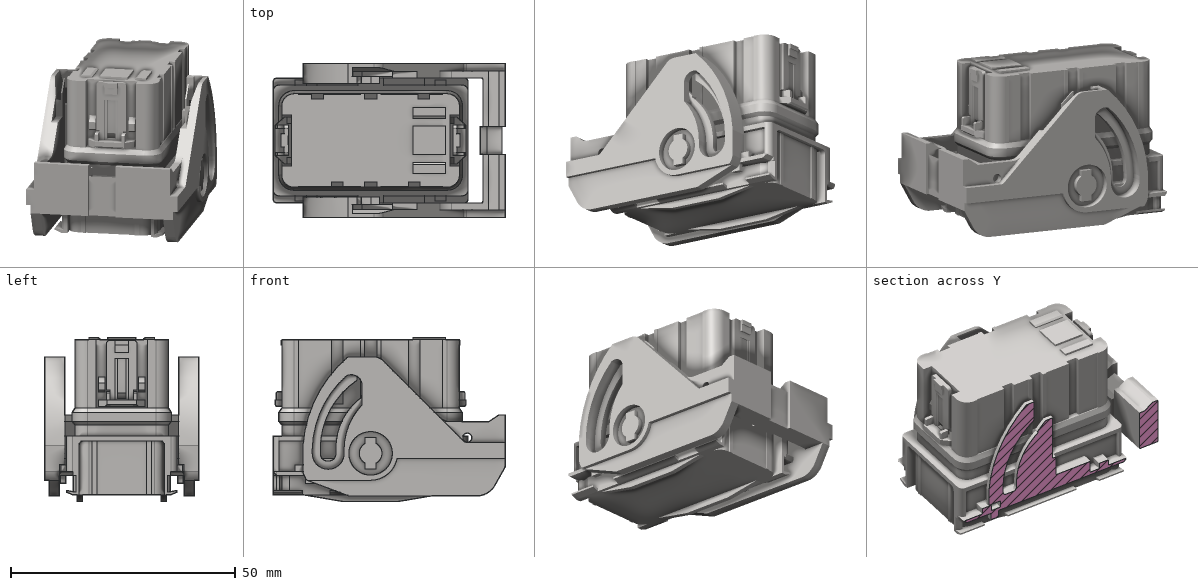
import cadquery as cq
import math


CAP_X, CAP_Y = 19.8, 10.42
CAP_TOP = 25.33
CAP_CORNER = 2.75
SIDE_RELIEF = 0.2
RELIEF_X = 16.05
NOTCH_DEPTH = 1.2
SIDE_NOTCH_WIDTH = 2.6
FRONT_NOTCHES, BACK_NOTCHES = (-8.76, 8.4), (-13.15, 10.55)
SHORT_NOTCH_LOW = 11.0
MID_NOTCH_X = 1.4
MID_RIB_X = 2.3
COLLAR_X, COLLAR_Y = 20.48, 11.1
COLLAR_LOW, COLLAR_HIGH = 6.3, 10.1
COLLAR_BEVEL_TOP, COLLAR_BEVEL_LOW = 1.04, 0.84
PAD_X0, PAD_X1 = 9.4, 16.7
PAD_TOP = 25.85
PAD_MID_Y = 3.17
PAD_SIDE_Y0, PAD_SIDE_Y1 = 4.9, 7.35
PAD_BEVEL = 0.25

POCKET_X, POCKET_Y = 17.65, 5.7
TONGUE_FACE, TONGUE_BACK = 19.25, 18.35
TONGUE_Y = 3.4
TONGUE_TOP, TONGUE_FOOT = 25.15, 10.9
TONGUE_FILLET = 0.7
TONGUE_SLOT_Y = 0.95
FACE_GROOVE_DEPTH, DEEP_GROOVE_DEPTH = 0.12, 0.24
DEEP_GROOVE_LOW, DEEP_GROOVE_BEND = 12.2, 13.5
GRIP_X = 19.95
GRIP_Y = 1.5
GRIP_STEP = 0.25
GRIP_EDGE, GRIP_LOW, GRIP_ROOT = 24.1, 22.5, 21.1
SHOULDER_TOP = 14.1
BRACKET_X = 21.3
BRACKET_Y, BRACKET_TIP_Y = 5.2, 3.3
BRACKET_Z0, BRACKET_Z1 = 10.45, 11.9
BRACKET_BEVEL = 0.4
POST_Y = 2.65
POST_X = 21.05
POST_TOP = 13.75
POST_BEVEL = 0.25
CLIP_Y0, CLIP_Y1 = 3.75, 5.2
CLIP_X = 18.6
CLIP_Z0, CLIP_Z1 = 13.6, 17.1
CLIP_FOOT_BEVEL, CLIP_HEAD_BEVEL = 0.5, 1.4

CUP_X, CUP_Y = 21.72, 12.35
CUP_TOP, CUP_BOTTOM = 3.85, -9.28
CUP_CORNER = 1.35
WALL_OVERLAP = 2.0
CUP_ROOT = CUP_Y - WALL_OVERLAP
RIM_LOW = 2.78
SIDE_SET_BACK = 1.2
FLANGE_Y = 13.9
FLANGE_TOP, FLANGE_LOW = -4.07, -4.95
FLANGE_CORNER = 0.8
FLANGE_END_BEVEL = 0.8
LEDGE_X, LEDGE_TOP = 12.0, -1.1
SKIRT_Y, SKIRT_NECK_Y = 10.85, 10.2
SKIRT_END = 0.8
RIB_X = 20.3
NECK_X0, NECK_X1 = 18.1, 19.8
LIP_Y, LIP_EDGE = 12.35, 0.4
LIP_TOP = -8.25
LIP_SPANS = ((-CUP_X, -15.2), (-9.1, 9.1), (15.2, CUP_X))
END_WINDOW_Y = 9.5
END_WINDOW_DEPTH = 1.2
END_WINDOW_FILLET = 1.0
END_BODY_CORNER = 2.2
END_RIB_Y, END_RIB_WIDTH, END_RIB_DEPTH = 6.05, 1.05, 0.2
BLOCK_X0, BLOCK_X1 = 14.3, 16.8
BLOCK_Y, BLOCK_TOP = 13.5, -2.6
PEG_X0, PEG_X1 = -14.5, -12.4
PEG_Y0, PEG_Y1, PEG_LOW = 12.45, 13.65, -6.7
KEEL_Y0, KEEL_Y1 = 8.7, 9.95
KEEL_LONG, KEEL_SHORT = 14.9, 6.2
KEEL_BOTTOM = -10.75

ARM_OUT = 17.2
ARM_STEP = 16.2
ARM_MID = 13.92
ARM_IN = 12.65
NOSE_X, NOSE_Z = -15.06, 1.8
NOSE_MID = (-13.25, 9.9)
NOSE_END_X = -5.05
LEVER_TOP = 21.5
SHELF_Z = 2.45
LEVER_LOW, LEVER_BOTTOM = -6.0, -9.5
TOE_X, TOE_Z = 0.9, 1.9
TOE_MID = (-14.76, -5.05)
SKIRT_START_X = -4.8
HEEL_START_X = 24.1
HEEL_MID, HEEL_END = (26.1, -8.8), (27.5, -7.5)
HEEL_TOP = -3.0
SLOPE_SUM = 23.45
CREST_FILLET = 2.9
SHELF_FILLET = 1.0
LEVER_END = 30.03
CHEEK_X, CHEEK_LOW = 1.97, -2.5
STEP_Z, STEP_R = -1.1, 6.0
SLOT_X = -9.46
SLOT_HALF, GROOVE_HALF = 1.75, 3.55
SLOT_BEND_Z = 1.0
SLOT_OUTER = ((-9.25, 9.2), (-3.0, 16.3))
SLOT_INNER = ((-6.25, 7.5), (-2.0, 12.5))
GROOVE_OUTER = ((-9.65, 12.2), (-5.3, 17.35))
GROOVE_HEAD = (-3.15, 17.2)
GROOVE_HEAD_Z = 15.6
GROOVE_INNER = ((-4.75, 6.5), (-1.93, 10.8))
GROOVE_FLOOR = 14.25
TRACK_X, TRACK_R = 13.04, 18.8
ENTRY_R = 19.85
TRACK_X0, TRACK_X1 = -4.07, 4.9
TRACK_OUT = 15.35
ENTRY_X0, ENTRY_FLAT_X = -3.0, 0.1
LEAD_IN_Y, LEAD_IN_Z, LEAD_IN_END = 16.3, 17.9, 5.6
RELIEF_END, RELIEF_Z = 10.4, 13.1
PIVOT_SINK_D, PIVOT_SINK_DEPTH = 9.7, 1.7
PIVOT_D = 5.05
PIVOT_KEY_W, PIVOT_KEY_H = 2.46, 7.0
PIVOT_HEIGHT = 1.3
PIVOT_BLOCK_X = 2.85
RAIL_X, RAIL_Y, RAIL_TOP = 15.5, 15.45, 7.05
RAIL_BLEND_MID, RAIL_BLEND_X = (16.65, 7.25), 18.0
CROSS_HOLE_D = 2.0
CROSS_HOLE_X, CROSS_HOLE_Z = 21.54, 3.5
BRIDGE_X, BRIDGE_LOW = 25.04, -3.0
BRIDGE_TOP = 8.58
RAMP_X0, RAMP_X1 = 26.3, 28.6
BRIDGE_CORNER = 0.5
SADDLE_Y = 3.1
SADDLE_X0, SADDLE_X1, SADDLE_RAMP_X = 24.4, 29.3, 25.95
SADDLE_Z0, SADDLE_Z1 = 4.5, 6.0
CLEAR = 1.0
TINY = 0.05


def box(x0, x1, y0, y1, z0, z1):
    return cq.Workplane("XY").box(x1 - x0, y1 - y0, z1 - z0, centered=False).translate((x0, y0, z0))


def centred_block(half_x, half_y, z0, z1, corner):
    block = box(-half_x, half_x, -half_y, half_y, z0, z1)
    return block.edges("|Z").fillet(corner)


def along_y(sketch, y0, y1):
    """Extrude a closed outline, drawn in X and Z, from y0 to y1."""
    return sketch.extrude(-(y1 - y0)).translate((0, y0, 0))


def outline(points, plane="XZ"):
    return cq.Workplane(plane).polyline(points).close()


def both_sides(body):
    return body.union(body.mirror("XZ"))


def both_ends(body):
    return body.union(body.mirror("YZ"))


def make_cap():
    cap = centred_block(CAP_X, CAP_Y, CUP_TOP - TINY, CAP_TOP, CAP_CORNER)
    relief_y = CAP_Y - SIDE_RELIEF
    floor_y = CAP_Y - NOTCH_DEPTH
    cut_top = CAP_TOP + CLEAR
    for side in (-1, 1):
        y0, y1 = sorted((side * relief_y, side * (CAP_Y + CLEAR)))
        for x0, x1 in ((-RELIEF_X, -MID_RIB_X), (MID_RIB_X, RELIEF_X)):
            cap = cap.cut(box(x0, x1, y0, y1, COLLAR_HIGH, cut_top))
        y0, y1 = sorted((side * floor_y, side * (CAP_Y + CLEAR)))
        cap = cap.cut(box(-MID_NOTCH_X, MID_NOTCH_X, y0, y1, COLLAR_HIGH, cut_top))
        notch_starts = FRONT_NOTCHES if side < 0 else BACK_NOTCHES
        for x0 in notch_starts:
            low = SHORT_NOTCH_LOW if x0 == FRONT_NOTCHES[0] else COLLAR_HIGH
            cap = cap.cut(box(x0, x0 + SIDE_NOTCH_WIDTH, y0, y1, low, cut_top))
    return cap


def make_collar():
    collar = centred_block(COLLAR_X, COLLAR_Y, COLLAR_LOW, COLLAR_HIGH, CAP_CORNER + COLLAR_X - CAP_X)
    reach = COLLAR_X - CAP_X
    collar = collar.faces(">Z").chamfer(COLLAR_BEVEL_TOP, reach)
    return collar.faces("<Z").chamfer(COLLAR_BEVEL_LOW, reach)


def make_pads():
    base = CAP_TOP - TINY
    pads = box(PAD_X0, PAD_X1, -PAD_MID_Y, PAD_MID_Y, base, PAD_TOP)
    inner = [
        (PAD_SIDE_Y0, base),
        (PAD_SIDE_Y1, base),
        (PAD_SIDE_Y1, PAD_TOP),
        (PAD_SIDE_Y0 + 2 * PAD_BEVEL, PAD_TOP),
        (PAD_SIDE_Y0, PAD_TOP - PAD_BEVEL),
    ]
    side_pad = outline(inner, "YZ").extrude(PAD_X1 - PAD_X0).translate((PAD_X0, 0, 0))
    return pads.union(both_sides(side_pad))


def make_end_pocket():
    """Recess in the +X end of the cap that holds the latch."""
    return box(POCKET_X, CAP_X + CLEAR, -POCKET_Y, POCKET_Y, COLLAR_HIGH, CAP_TOP + CLEAR)


def make_latch():
    """Spring tongue, foot bracket and guide clips at the +X end."""
    tongue = box(TONGUE_BACK, TONGUE_FACE, -TONGUE_Y, TONGUE_Y, SHOULDER_TOP, TONGUE_TOP)
    tongue = tongue.edges("|X and >Z").fillet(TONGUE_FILLET)
    tongue = tongue.union(box(TONGUE_BACK, TONGUE_FACE, -POST_Y, POST_Y, TONGUE_FOOT, SHOULDER_TOP + TINY))
    grip_profile = [
        (TONGUE_BACK, TONGUE_TOP),
        (GRIP_X, TONGUE_TOP),
        (GRIP_X, GRIP_EDGE),
        (GRIP_X - GRIP_STEP, GRIP_EDGE),
        (GRIP_X - GRIP_STEP, GRIP_LOW),
        (TONGUE_FACE, GRIP_LOW),
        (TONGUE_BACK, GRIP_ROOT),
    ]
    grip = along_y(outline(grip_profile), -GRIP_Y, GRIP_Y)
    face_groove = box(TONGUE_FACE - FACE_GROOVE_DEPTH, GRIP_X, -GRIP_Y, GRIP_Y, BRACKET_Z1, GRIP_ROOT)
    floor_x = TONGUE_FACE - DEEP_GROOVE_DEPTH
    deep_profile = [
        (GRIP_X, GRIP_ROOT),
        (floor_x, GRIP_ROOT),
        (floor_x, DEEP_GROOVE_BEND),
        (TONGUE_BACK + TINY, DEEP_GROOVE_LOW),
        (GRIP_X, DEEP_GROOVE_LOW),
    ]
    deep_groove = along_y(outline(deep_profile), -TONGUE_SLOT_Y, TONGUE_SLOT_Y)
    tongue = tongue.union(grip).cut(face_groove).cut(deep_groove)

    foot_plan = [
        (POCKET_X - TINY, -BRACKET_Y),
        (TONGUE_FACE, -BRACKET_Y),
        (BRACKET_X, -BRACKET_TIP_Y),
        (BRACKET_X, BRACKET_TIP_Y),
        (TONGUE_FACE, BRACKET_Y),
        (POCKET_X - TINY, BRACKET_Y),
    ]
    bracket = outline(foot_plan, "XY").extrude(BRACKET_Z1 - BRACKET_Z0).translate((0, 0, BRACKET_Z0))
    bracket = bracket.faces(">X").edges("<Z").chamfer(BRACKET_BEVEL)
    post = box(TONGUE_FACE, POST_X, POST_Y, TONGUE_Y, BRACKET_Z0, POST_TOP)
    post = post.edges("|Y and >Z and >X").chamfer(POST_BEVEL)
    clip_profile = [
        (POCKET_X - TINY, CLIP_Z0),
        (CLIP_X, CLIP_Z0 + CLIP_FOOT_BEVEL),
        (CLIP_X, CLIP_Z1 - CLIP_HEAD_BEVEL),
        (POCKET_X - TINY, CLIP_Z1),
    ]
    clip = along_y(outline(clip_profile), CLIP_Y0, CLIP_Y1)
    return tongue.union(bracket).union(both_sides(post.union(clip)))


def make_flange():
    flange = centred_block(CUP_X, FLANGE_Y, FLANGE_LOW, FLANGE_TOP, FLANGE_CORNER)
    bevel_profile = [
        (CUP_X - FLANGE_END_BEVEL, FLANGE_LOW),
        (CUP_X, FLANGE_TOP - TINY),
        (CUP_X, FLANGE_LOW),
    ]
    bevel = both_sides(along_y(outline(bevel_profile), SKIRT_NECK_Y, FLANGE_Y))
    ledge = box(-LEDGE_X, LEDGE_X, CUP_ROOT, FLANGE_Y, FLANGE_LOW, LEDGE_TOP)
    return flange.cut(both_ends(bevel)).union(both_sides(ledge))


def make_skirt():
    """Lower wall of the cup, bevelled at each end and necked in just behind it."""
    half_edge = [
        (CUP_X, SKIRT_NECK_Y),
        (CUP_X - SKIRT_END, SKIRT_Y),
        (RIB_X, SKIRT_Y),
        (NECK_X1, SKIRT_NECK_Y),
        (NECK_X0, SKIRT_Y),
    ]
    back_edge = half_edge + [(-x, y) for x, y in reversed(half_edge)]
    plan = back_edge + [(x, -y) for x, y in reversed(back_edge)]
    skirt = outline(plan, "XY").extrude(FLANGE_TOP - CUP_BOTTOM).translate((0, 0, CUP_BOTTOM))
    lip_section = [
        (SKIRT_NECK_Y - TINY, CUP_BOTTOM),
        (SKIRT_Y, CUP_BOTTOM),
        (LIP_Y, LIP_TOP - LIP_EDGE),
        (LIP_Y, LIP_TOP),
        (SKIRT_NECK_Y - TINY, LIP_TOP - LIP_EDGE),
    ]
    for x0, x1 in LIP_SPANS:
        lip = outline(lip_section, "YZ").extrude(x1 - x0).translate((x0, 0, 0))
        skirt = skirt.union(both_sides(lip))
    return skirt


def make_end_window():
    """Shallow window in the +X end around a body with rounded corners."""
    face_x = CUP_X - END_WINDOW_DEPTH
    low = CUP_BOTTOM - CLEAR
    window = box(face_x, CUP_X + CLEAR, -END_WINDOW_Y, END_WINDOW_Y, low, RIM_LOW)
    window = window.edges("|X and >Z").fillet(END_WINDOW_FILLET)
    corner = box(face_x - 2 * END_BODY_CORNER, face_x, -END_WINDOW_Y, END_WINDOW_Y, low, RIM_LOW)
    body = corner.edges("|Z and >X").fillet(END_BODY_CORNER)
    window = window.union(corner.cut(body))
    rib_y0 = END_RIB_Y - END_RIB_WIDTH / 2
    rib_y1 = END_RIB_Y + END_RIB_WIDTH / 2
    rib = box(face_x - TINY, face_x + END_RIB_DEPTH, rib_y0, rib_y1, low, RIM_LOW)
    return window.cut(both_sides(rib))


def make_keel():
    profile = [
        (-KEEL_LONG, CUP_BOTTOM),
        (-KEEL_SHORT, KEEL_BOTTOM),
        (KEEL_SHORT, KEEL_BOTTOM),
        (KEEL_LONG, CUP_BOTTOM),
        (KEEL_LONG, CUP_BOTTOM + CLEAR),
        (-KEEL_LONG, CUP_BOTTOM + CLEAR),
    ]
    return along_y(outline(profile), KEEL_Y0, KEEL_Y1)


def make_cup():
    cup = centred_block(CUP_X, CUP_Y, FLANGE_LOW, CUP_TOP, CUP_CORNER)
    panel_x = CUP_X - CUP_CORNER
    panel = box(-panel_x, panel_x, CUP_Y - SIDE_SET_BACK, CUP_Y + CLEAR, FLANGE_TOP, RIM_LOW)
    cup = cup.cut(both_sides(panel))
    below_flange = box(-CUP_X, CUP_X, SKIRT_Y, CUP_Y + CLEAR, CUP_BOTTOM, FLANGE_TOP)
    cup = cup.cut(both_sides(below_flange)).union(make_flange()).union(make_skirt())
    cup = cup.cut(both_ends(make_end_window()))
    block = box(BLOCK_X0, BLOCK_X1, CUP_ROOT, BLOCK_Y, FLANGE_TOP - TINY, BLOCK_TOP)
    peg = box(PEG_X0, PEG_X1, PEG_Y0, PEG_Y1, PEG_LOW, FLANGE_TOP)
    return cup.union(both_sides(both_ends(block).union(peg).union(make_keel())))


def upper_outline():
    """Outline of the full-thickness lever plate, down to its lower step."""
    step_end_x = math.sqrt(STEP_R ** 2 - STEP_Z ** 2)
    step_mid = (STEP_R * math.cos(math.pi / 4), -STEP_R * math.sin(math.pi / 4))
    return (
        cq.Workplane("XZ")
        .moveTo(NOSE_X, NOSE_Z)
        .threePointArc(NOSE_MID, (NOSE_END_X, LEVER_TOP))
        .lineTo(SLOPE_SUM - LEVER_TOP, LEVER_TOP)
        .lineTo(SLOPE_SUM - SHELF_Z, SHELF_Z)
        .lineTo(LEVER_END, SHELF_Z)
        .lineTo(LEVER_END, STEP_Z)
        .lineTo(step_end_x, STEP_Z)
        .threePointArc(step_mid, (0, LEVER_LOW))
        .lineTo(NOSE_X + TOE_X, LEVER_LOW)
        .threePointArc(TOE_MID, (NOSE_X, LEVER_LOW + TOE_Z))
        .close()
    )


def make_lower_plate():
    profile = (
        cq.Workplane("XZ")
        .moveTo(NOSE_X + TOE_X, LEVER_LOW)
        .lineTo(SKIRT_START_X, LEVER_BOTTOM)
        .lineTo(HEEL_START_X, LEVER_BOTTOM)
        .threePointArc(HEEL_MID, HEEL_END)
        .lineTo(LEVER_END, HEEL_TOP)
        .lineTo(LEVER_END, STEP_Z + CLEAR)
        .lineTo(0, STEP_Z + CLEAR)
        .close()
    )
    return along_y(profile, ARM_MID, ARM_STEP)


def curved_slot(half_width, outer_edge, head, inner_edge, y0, y1):
    """Slot rising from a rounded foot; each edge is a (middle, end) pair of its arc."""
    left, right = SLOT_X - half_width, SLOT_X + half_width
    path = (
        cq.Workplane("XZ")
        .moveTo(left, 0)
        .lineTo(left, SLOT_BEND_Z)
        .threePointArc(*outer_edge)
    )
    if head:
        path = path.threePointArc(*head)
    path = path.lineTo(*inner_edge[1]).threePointArc(inner_edge[0], (right, SLOT_BEND_Z)).lineTo(right, 0)
    return along_y(path.threePointArc((SLOT_X, -half_width), (left, 0)).close(), y0, y1)


def open_track(x0, x1, floor_r, y0, y1):
    """Cam track open through the lever top, with an arc-shaped floor."""
    floor = along_y(cq.Workplane("XZ").center(TRACK_X, 0).circle(floor_r), y0, y1)
    return box(x0, x1, y0, y1, 0, LEVER_TOP + CLEAR).cut(floor)


def cut_cam_track(arm):
    y_out = ARM_OUT + CLEAR
    y_in = ARM_IN - CLEAR
    head = (GROOVE_HEAD, (GROOVE_INNER[1][0], GROOVE_HEAD_Z))
    arm = arm.cut(curved_slot(GROOVE_HALF, GROOVE_OUTER, head, GROOVE_INNER, GROOVE_FLOOR, y_out))
    arm = arm.cut(curved_slot(SLOT_HALF, SLOT_OUTER, None, SLOT_INNER, y_in, y_out))
    arm = arm.cut(open_track(TRACK_X0, TRACK_X1, TRACK_R, GROOVE_FLOOR, TRACK_OUT))
    rising_part = open_track(ENTRY_X0, ENTRY_FLAT_X, ENTRY_R, y_in, GROOVE_FLOOR + TINY)
    level_z = math.sqrt(ENTRY_R ** 2 - (TRACK_X - ENTRY_FLAT_X) ** 2)
    level_part = box(ENTRY_FLAT_X, CHEEK_X, y_in, GROOVE_FLOOR + TINY, level_z, LEVER_TOP + CLEAR)
    arm = arm.cut(rising_part).cut(level_part)
    lead_in_section = [
        (TRACK_OUT - TINY, LEAD_IN_Z),
        (LEAD_IN_Y, LEVER_TOP),
        (TRACK_OUT - TINY, LEVER_TOP),
    ]
    lead_in = outline(lead_in_section, "YZ").extrude(LEAD_IN_END - TRACK_X0).translate((TRACK_X0, 0, 0))
    arm = arm.cut(lead_in)
    return arm.cut(box(TRACK_X1, RELIEF_END, y_in, TRACK_OUT, RELIEF_Z, LEVER_TOP))


def make_pivot():
    floor_y = ARM_OUT - PIVOT_SINK_DEPTH
    tip_y = floor_y + PIVOT_HEIGHT
    pin = along_y(cq.Workplane("XZ").circle(PIVOT_D / 2), CUP_ROOT, tip_y)
    key = along_y(cq.Workplane("XZ").rect(PIVOT_KEY_W, PIVOT_KEY_H), floor_y - TINY, tip_y)
    block = box(-PIVOT_BLOCK_X, PIVOT_BLOCK_X, CUP_ROOT, ARM_MID + TINY, CHEEK_LOW, CUP_TOP)
    return pin.union(key).union(block)


def make_rail():
    rail_profile = (
        cq.Workplane("XZ")
        .moveTo(RAIL_X, STEP_Z)
        .lineTo(RAIL_X, SLOPE_SUM - RAIL_X)
        .threePointArc(RAIL_BLEND_MID, (RAIL_BLEND_X, RAIL_TOP))
        .lineTo(LEVER_END, RAIL_TOP)
        .lineTo(LEVER_END, STEP_Z)
        .close()
    )
    rail = along_y(rail_profile, ARM_MID, RAIL_Y)
    hole_circle = cq.Workplane("XZ").center(CROSS_HOLE_X, CROSS_HOLE_Z).circle(CROSS_HOLE_D / 2)
    hole = along_y(hole_circle, ARM_MID - CLEAR, ARM_OUT + CLEAR)
    return rail, hole


def make_arm():
    """The +Y lever arm."""
    arm = along_y(upper_outline(), ARM_IN, ARM_OUT)
    crest = cq.selectors.NearestToPointSelector((SLOPE_SUM - LEVER_TOP, (ARM_IN + ARM_OUT) / 2, LEVER_TOP))
    arm = arm.edges("|Y").edges(crest).fillet(CREST_FILLET)
    shelf = cq.selectors.NearestToPointSelector((SLOPE_SUM - SHELF_Z, (ARM_IN + ARM_OUT) / 2, SHELF_Z))
    arm = arm.edges("|Y").edges(shelf).fillet(SHELF_FILLET)
    arm = arm.cut(box(CHEEK_X, LEVER_END + CLEAR, ARM_IN - CLEAR, ARM_MID, LEVER_BOTTOM, LEVER_TOP + CLEAR))
    arm = arm.cut(box(NOSE_X - CLEAR, CHEEK_X + CLEAR, ARM_IN - CLEAR, ARM_MID, LEVER_BOTTOM, CHEEK_LOW))
    rail, hole = make_rail()
    arm = cut_cam_track(arm.union(make_lower_plate()).union(rail)).cut(hole)
    sink = along_y(cq.Workplane("XZ").circle(PIVOT_SINK_D / 2), ARM_OUT - PIVOT_SINK_DEPTH, ARM_OUT + CLEAR)
    return arm.cut(sink).union(make_pivot())


def make_bridge():
    """Cross bar joining the two arms, with a ramped thumb edge and a lower middle."""
    profile = [
        (BRIDGE_X, BRIDGE_LOW),
        (LEVER_END, BRIDGE_LOW),
        (LEVER_END, BRIDGE_TOP),
        (RAMP_X1, BRIDGE_TOP),
        (RAMP_X0, RAIL_TOP),
        (BRIDGE_X, RAIL_TOP),
    ]
    bridge = along_y(outline(profile), -RAIL_Y, RAIL_Y)
    gap_low, gap_high = BRIDGE_LOW - CLEAR, BRIDGE_TOP + CLEAR
    gap = box(BRIDGE_X - CLEAR, LEVER_END + CLEAR, -SADDLE_Y, SADDLE_Y, gap_low, gap_high)
    saddle_profile = [
        (SADDLE_X0, BRIDGE_LOW),
        (SADDLE_X1, BRIDGE_LOW),
        (SADDLE_X1, SADDLE_Z1),
        (SADDLE_RAMP_X, SADDLE_Z0),
        (SADDLE_X0, SADDLE_Z0),
    ]
    saddle = along_y(outline(saddle_profile), -SADDLE_Y, SADDLE_Y)
    web = box(BRIDGE_X - BRIDGE_CORNER, BRIDGE_X, ARM_MID - BRIDGE_CORNER, ARM_MID, BRIDGE_LOW, RAIL_TOP)
    round_cut = (
        cq.Workplane("XY")
        .center(BRIDGE_X - BRIDGE_CORNER, ARM_MID - BRIDGE_CORNER)
        .circle(BRIDGE_CORNER)
        .extrude(RAIL_TOP - BRIDGE_LOW)
        .translate((0, 0, BRIDGE_LOW))
    )
    return bridge.cut(gap).union(saddle).union(both_sides(web.cut(round_cut)))


cap = make_cap().union(make_collar()).union(make_pads())
cap = cap.cut(both_ends(make_end_pocket())).union(both_ends(make_latch()))
lever = both_sides(make_arm()).union(make_bridge())
result = cap.union(make_cup()).union(lever)